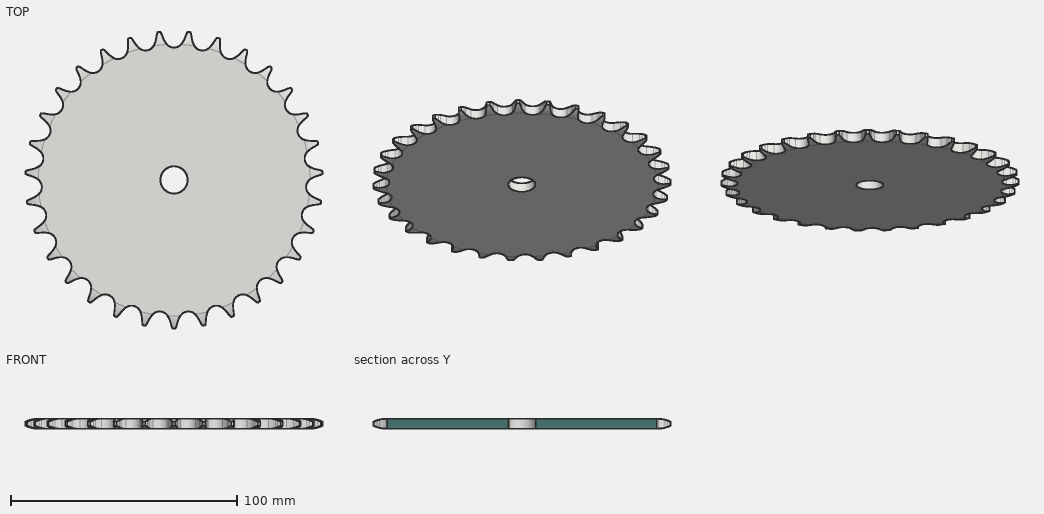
import cadquery as cq
import math

tooth_count = 31
overall_width = 131.4
pitch_diameter = 125.5
roller_diameter = 8.5
seat_radius = 4.2
plate_thickness = 4.5
bore_diameter = 12.0
land_diameter = 120.1

pitch_angle = 360 / tooth_count
half_pitch_angle = pitch_angle / 2
pitch_radius = pitch_diameter / 2
chain_pitch = pitch_diameter * math.sin(math.radians(half_pitch_angle))

seat_end_angle = 35 + 60 / tooth_count
working_arc_angle = 18 - 56 / tooth_count
head_offset_angle = 17 - 64 / tooth_count
flank_angle = seat_end_angle - working_arc_angle
working_center_distance = 0.8 * roller_diameter
head_center_distance = 1.4 * roller_diameter
working_radius = seat_radius + working_center_distance
head_radius = (
    working_center_distance * math.cos(math.radians(working_arc_angle))
    + head_center_distance * math.cos(math.radians(head_offset_angle))
    - working_radius
)


def point_from(origin, distance, degrees):
    """Point at a distance from the origin, in a direction measured from +X."""
    angle = math.radians(degrees)
    return (origin[0] + distance * math.cos(angle), origin[1] + distance * math.sin(angle))


axis_point = (0, 0)
seat_center = (0, pitch_radius)
working_center = point_from(seat_center, working_center_distance, 180 - seat_end_angle)
head_center = point_from(seat_center, head_center_distance, -half_pitch_angle)

gap_offset_angle = pitch_angle / 4
head_direction = math.degrees(math.atan2(*head_center)) - gap_offset_angle
widest_head_center = point_from(axis_point, math.hypot(*head_center), head_direction)
corner_x = overall_width / 2
corner_y = widest_head_center[1] - math.sqrt(head_radius**2 - (corner_x - widest_head_center[0]) ** 2)
tip_radius = math.hypot(corner_x, corner_y)
tip_angle = math.degrees(math.atan2(corner_y, corner_x)) + gap_offset_angle
gap_clearance = 4.0


def make_blank():
    """Bored disc whose rim narrows on both faces along arcs of one chain pitch radius."""
    bore_radius = bore_diameter / 2
    land_radius = land_diameter / 2

    def bevel_drop(radius):
        return chain_pitch - math.sqrt(chain_pitch**2 - (radius - land_radius) ** 2)

    middle_radius = (land_radius + tip_radius) / 2
    middle_drop = bevel_drop(middle_radius)
    tip_drop = bevel_drop(tip_radius)
    return (
        cq.Workplane("XZ")
        .moveTo(bore_radius, 0)
        .lineTo(land_radius, 0)
        .threePointArc((middle_radius, middle_drop), (tip_radius, tip_drop))
        .lineTo(tip_radius, plate_thickness - tip_drop)
        .threePointArc((middle_radius, plate_thickness - middle_drop), (land_radius, plate_thickness))
        .lineTo(bore_radius, plate_thickness)
        .close()
        .revolve(360, (0, 0, 0), (0, 1, 0))
    )


def make_half_gap():
    """Right half of one tooth gap: roller seat, working curve, short flat and rounded head."""
    seat_bottom = (0, pitch_radius - seat_radius)
    seat_middle = point_from(seat_center, seat_radius, -(90 + seat_end_angle) / 2)
    seat_end = point_from(seat_center, seat_radius, -seat_end_angle)
    working_middle = point_from(working_center, working_radius, -(seat_end_angle + flank_angle) / 2)
    working_end = point_from(working_center, working_radius, -flank_angle)

    tip = point_from(axis_point, tip_radius, 90 - tip_angle)
    head_start_angle = 180 - flank_angle
    head_end_angle = math.degrees(math.atan2(tip[1] - head_center[1], tip[0] - head_center[0]))
    head_start = point_from(head_center, head_radius, head_start_angle)
    head_middle = point_from(head_center, head_radius, (head_start_angle + head_end_angle) / 2)

    cutter_top = tip_radius + gap_clearance
    return (
        cq.Workplane("XY")
        .moveTo(*seat_bottom)
        .threePointArc(seat_middle, seat_end)
        .threePointArc(working_middle, working_end)
        .lineTo(*head_start)
        .threePointArc(head_middle, tip)
        .lineTo(tip[0], cutter_top)
        .lineTo(0, cutter_top)
    )


def make_gaps():
    """All tooth gaps, evenly spaced around the axis."""
    gap = make_half_gap().mirrorY().extrude(plate_thickness).val()
    gaps = [gap.rotate((0, 0, 0), (0, 0, 1), i * pitch_angle) for i in range(tooth_count)]
    return cq.Compound.makeCompound(gaps)


result = make_blank().cut(make_gaps())